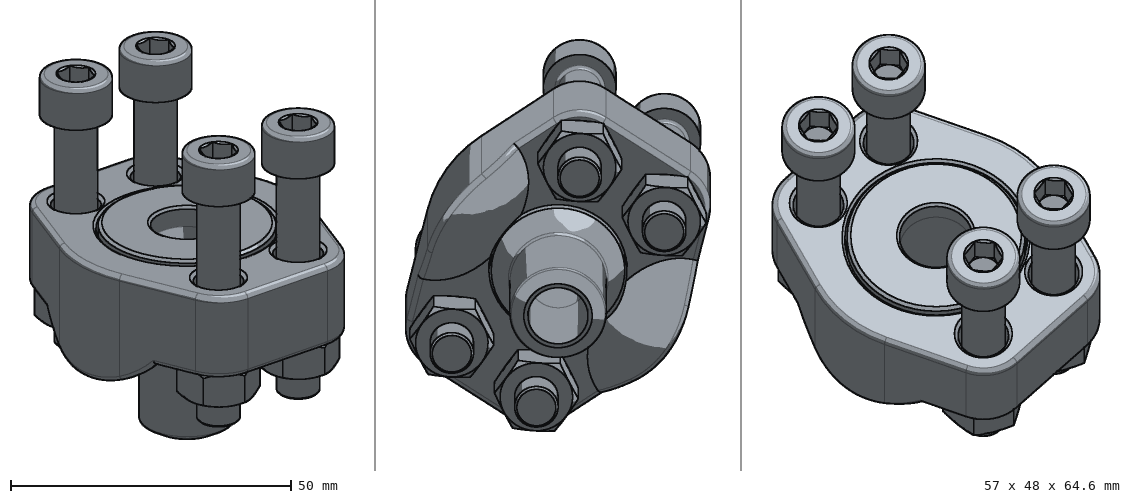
import cadquery as cq
import math

bolt_x = 20.25
bolt_y = 9.12
bolt_points = [(sx * bolt_x, sy * bolt_y) for sx in (-1, 1) for sy in (-1, 1)]
flange_thickness = 16.0

flange_length = 57.0
flange_width = 47.95
side_radius = flange_width / 2
corner_radius = flange_length / 2 - bolt_x
lobe_depth = 22.5
lobe_round = 14.0
lobe_apex_y = 22.6
edge_fillet = 1.0
recess_diameter = 32.5
recess_chamfer = 0.5
flange_bore_diameter = 24.65
bolt_hole_diameter = 9.0
bolt_hole_chamfer = 0.65

nipple_length = 40.0
nipple_top = 0.65
collar_diameter = 31.7
collar_thickness = 6.8
collar_chamfer_width = 0.65
collar_chamfer_height = 0.5
shank_diameter = 23.8
dome_radius = 13.0
dome_center_z = -11.4
pipe_diameter = 17.2
root_fillet = 1.0
entry_bore_diameter = 13.0
entry_bore_depth = 3.9
entry_chamfer = 0.5
pipe_bore_diameter = 10.7
weld_bevel_height = 1.5
weld_bevel_width = 2.5
weld_bevel_fillet = 0.5

screw_diameter = 7.76
screw_length = 45.0
head_diameter = 13.0
head_height = 8.1
head_bottom = 17.15
head_fillet = 0.8
neck_fillet = 0.6
tip_chamfer = 0.4
socket_width = 6.0
socket_depth = 5.0
socket_angle = 39.0
socket_rim_diameter = 7.0
cone_angle = 120.0

nut_width = 13.0
nut_height = 6.5
nut_chamfer_height = 0.6
nut_chamfer_angle = 30.0


def turn(profile):
    """Revolves a closed XZ profile about the Z axis."""
    return profile.close().revolve(360, (0, 0, 0), (0, 1, 0))


def chamfered_hole(diameter, chamfer, depth):
    """Cutter for a round hole from Z = 0 down, with a chamfered mouth."""
    radius = diameter / 2
    return turn(
        cq.Workplane("XZ")
        .lineTo(radius + chamfer, 0)
        .lineTo(radius, -chamfer)
        .lineTo(radius, -depth)
        .lineTo(0, -depth)
    )


def pointed_cone(radius, base_z):
    """Cone of the screw's socket: base at base_z, point below it."""
    depth = radius / math.tan(math.radians(cone_angle / 2))
    return cq.Workplane(cq.Solid.makeCone(0, radius, depth, cq.Vector(0, 0, base_z - depth)))


def edges_at_height(body, z):
    """Horizontal circular edges lying at height z."""
    tolerance = 0.01
    reach = flange_length
    low = (-reach, -reach, z - tolerance)
    high = (reach, reach, z + tolerance)
    return body.edges(cq.selectors.BoxSelector(low, high, boundingbox=True))


def hexagon_corner_diameter(width):
    """Diameter across corners for a hexagon of the given width across flats."""
    return width / math.cos(math.radians(30))


def flange_outline():
    """Closed outline: side arcs and corner arcs joined by their common tangents."""
    center_distance = math.hypot(bolt_x, bolt_y)
    center_angle = math.atan2(bolt_y, bolt_x)
    tangent_angle = center_angle + math.acos((side_radius - corner_radius) / center_distance)
    cos_t, sin_t = math.cos(tangent_angle), math.sin(tangent_angle)
    cos_m, sin_m = math.cos(tangent_angle / 2), math.sin(tangent_angle / 2)
    side = (side_radius * cos_t, side_radius * sin_t)
    corner = (bolt_x + corner_radius * cos_t, bolt_y + corner_radius * sin_t)
    corner_mid = (bolt_x + corner_radius * cos_m, bolt_y + corner_radius * sin_m)
    end_x = flange_length / 2
    return (
        cq.Workplane("XY")
        .moveTo(-side[0], side[1])
        .threePointArc((0, side_radius), side)
        .lineTo(*corner)
        .threePointArc(corner_mid, (end_x, bolt_y))
        .lineTo(end_x, -bolt_y)
        .threePointArc((corner_mid[0], -corner_mid[1]), (corner[0], -corner[1]))
        .lineTo(side[0], -side[1])
        .threePointArc((0, -side_radius), (-side[0], -side[1]))
        .lineTo(-corner[0], -corner[1])
        .threePointArc((-corner_mid[0], -corner_mid[1]), (-end_x, -bolt_y))
        .lineTo(-end_x, bolt_y)
        .threePointArc((-corner_mid[0], corner_mid[1]), (-corner[0], corner[1]))
        .close()
    )


def make_lobe():
    """Rounded bulge on the +Y side: an arc turned about the Y axis, ending beyond the outline."""
    arc_center_z = lobe_depth - lobe_round
    root_z = flange_thickness / 2
    root_y = lobe_apex_y - math.sqrt(lobe_round**2 - (root_z - arc_center_z) ** 2)
    outer_y = side_radius + 1.0
    outer_z = arc_center_z + math.sqrt(lobe_round**2 - (outer_y - lobe_apex_y) ** 2)
    diagonal = lobe_round * math.cos(math.radians(45))
    profile = (
        cq.Workplane("XY")
        .moveTo(0, root_y)
        .lineTo(root_z, root_y)
        .threePointArc((arc_center_z + diagonal, lobe_apex_y - diagonal), (outer_z, outer_y))
        .lineTo(0, outer_y)
        .close()
    )
    return profile.revolve(360, (0, 0, 0), (0, 1, 0))


def make_flange():
    through_depth = -2 * lobe_depth
    lobe = make_lobe()
    slab = cq.Workplane("XY").rect(2 * flange_length, 2 * flange_length).extrude(-flange_thickness)
    underside = slab.union(lobe).union(lobe.mirror("XZ"))
    body = flange_outline().extrude(through_depth).intersect(underside)
    body = body.faces(">Z").edges().fillet(edge_fillet)

    rim_tolerance = 0.1
    core = flange_outline().offset2D(-rim_tolerance).extrude(through_depth).val()
    rim = []
    for edge in body.edges().vals():
        middle = edge.positionAt(0.5)
        if middle.z < rim_tolerance - flange_thickness and not core.isInside(middle):
            rim.append(edge)
    body = body.newObject(rim).fillet(edge_fillet)

    body = body.cut(chamfered_hole(recess_diameter, recess_chamfer, collar_thickness - nipple_top))
    body = body.cut(cq.Workplane("XY").circle(flange_bore_diameter / 2).extrude(through_depth))
    bolt_hole = chamfered_hole(bolt_hole_diameter, bolt_hole_chamfer, flange_thickness)
    for x, y in bolt_points:
        body = body.cut(bolt_hole.translate((x, y, 0)))
    return body


def dome_height(radius):
    """Height of the nipple's dome surface where it has the given radius."""
    return dome_center_z - math.sqrt(dome_radius**2 - radius**2)


def make_nipple():
    bottom = nipple_top - nipple_length
    bevel_top = bottom + weld_bevel_height
    collar_radius = collar_diameter / 2
    collar_bottom = nipple_top - collar_thickness
    shank_radius = shank_diameter / 2
    pipe_radius = pipe_diameter / 2
    dome_mid_radius = (shank_radius + pipe_radius) / 2
    dome_bottom = dome_height(pipe_radius)
    body = turn(
        cq.Workplane("XZ")
        .moveTo(0, nipple_top)
        .lineTo(collar_radius - collar_chamfer_width, nipple_top)
        .lineTo(collar_radius, nipple_top - collar_chamfer_height)
        .lineTo(collar_radius, collar_bottom)
        .lineTo(shank_radius, collar_bottom)
        .lineTo(shank_radius, dome_height(shank_radius))
        .threePointArc((dome_mid_radius, dome_height(dome_mid_radius)), (pipe_radius, dome_bottom))
        .lineTo(pipe_radius, bevel_top)
        .lineTo(pipe_radius - weld_bevel_width, bottom)
        .lineTo(0, bottom)
    )
    body = edges_at_height(body, dome_bottom).fillet(root_fillet)
    body = edges_at_height(body, bevel_top).fillet(weld_bevel_fillet)

    entry_radius = entry_bore_diameter / 2
    pipe_bore_radius = pipe_bore_diameter / 2
    bore = turn(
        cq.Workplane("XZ")
        .moveTo(0, nipple_top)
        .lineTo(entry_radius + entry_chamfer, nipple_top)
        .lineTo(entry_radius, nipple_top - entry_chamfer)
        .lineTo(entry_radius, nipple_top - entry_bore_depth)
        .lineTo(pipe_bore_radius, dome_bottom)
        .lineTo(pipe_bore_radius, bottom)
        .lineTo(0, bottom)
    )
    return body.cut(bore)


def make_screw():
    shaft_radius = screw_diameter / 2
    head_radius = head_diameter / 2
    head_top = head_bottom + head_height
    tip = head_bottom - screw_length
    body = turn(
        cq.Workplane("XZ")
        .moveTo(0, head_top)
        .lineTo(head_radius - head_fillet, head_top)
        .radiusArc((head_radius, head_top - head_fillet), head_fillet)
        .lineTo(head_radius, head_bottom)
        .lineTo(shaft_radius + neck_fillet, head_bottom)
        .radiusArc((shaft_radius, head_bottom - neck_fillet), -neck_fillet)
        .lineTo(shaft_radius, tip + tip_chamfer)
        .lineTo(shaft_radius - tip_chamfer, tip)
        .lineTo(0, tip)
    )
    socket = (
        cq.Workplane("XY", origin=(0, 0, head_top))
        .transformed(rotate=(0, 0, socket_angle))
        .polygon(6, hexagon_corner_diameter(socket_width))
        .extrude(-socket_depth)
    )
    rim = pointed_cone(socket_rim_diameter / 2, head_top)
    point = pointed_cone(socket_width / 2, head_top - socket_depth)
    return body.cut(socket).cut(rim).cut(point)


def make_nut():
    corner_diameter = hexagon_corner_diameter(nut_width)
    corner = corner_diameter / 2
    crown = corner - nut_chamfer_height / math.tan(math.radians(nut_chamfer_angle))
    top = -flange_thickness
    bottom = top - nut_height
    chamfered_blank = turn(
        cq.Workplane("XZ")
        .moveTo(0, top)
        .lineTo(crown, top)
        .lineTo(corner, top - nut_chamfer_height)
        .lineTo(corner, bottom + nut_chamfer_height)
        .lineTo(crown, bottom)
        .lineTo(0, bottom)
    )
    nut_plane = cq.Workplane("XY", origin=(0, 0, top))
    hexagon = nut_plane.polygon(6, corner_diameter).extrude(-nut_height)
    hole = nut_plane.circle(screw_diameter / 2).extrude(-nut_height)
    return hexagon.intersect(chamfered_blank).cut(hole)


flange = make_flange()
nipple = make_nipple()

screw = make_screw()
nut = make_nut()
screws = []
nuts = []
for x, y in bolt_points:
    screws.append(screw.translate((x, y, 0)).val())
    nuts.append(nut.translate((x, y, 0)).val())

result = cq.Compound.makeCompound([flange.val(), nipple.val(), *screws, *nuts])